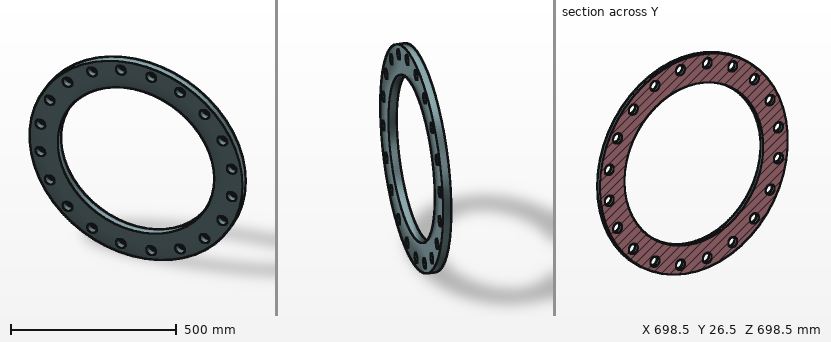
import cadquery as cq

outer_diameter = 698.5
bore_diameter = 513.0
thickness = 26.5

bolt_circle_diameter = 635.0
bolt_hole_diameter = 31.5
bolt_hole_count = 20
first_hole_angle = 360 / bolt_hole_count / 2

ring = (
    cq.Workplane("XZ")
    .circle(outer_diameter / 2)
    .circle(bore_diameter / 2)
    .extrude(thickness)
)

bolt_holes = (
    cq.Workplane("XZ")
    .polarArray(bolt_circle_diameter / 2, first_hole_angle, 360, bolt_hole_count)
    .circle(bolt_hole_diameter / 2)
    .extrude(thickness)
)

result = ring.cut(bolt_holes)